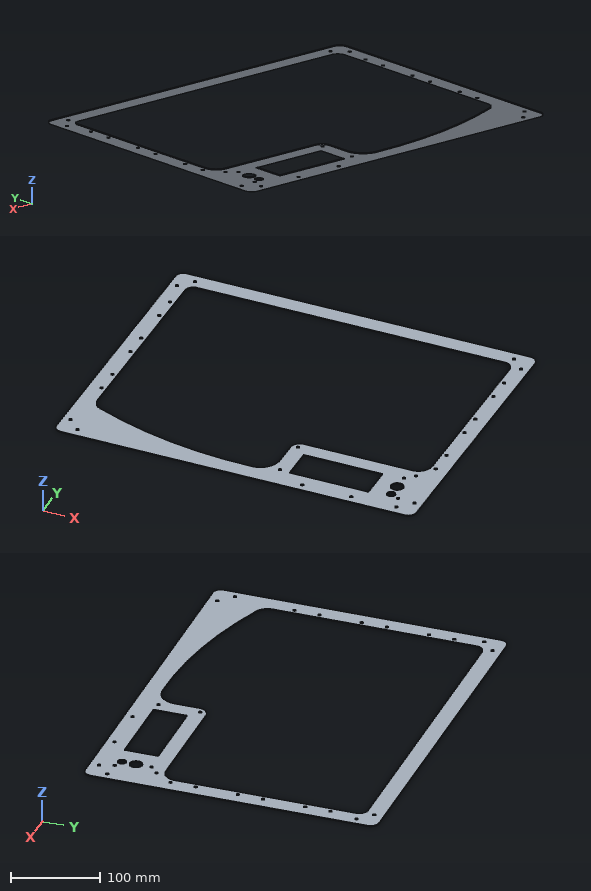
import cadquery as cq
import math

length = 440.0
width = 350.0
thickness = 1.5
outer_radius = 10.0

opening_x = 198.5
opening_y = 153.5
step_x = 37.5
step_y = -89.0
sweep_radius = 506.0
sweep_low_x = 6.5
upper_radius = 10.0
step_outer_radius = 12.0
step_inner_radius = 16.5
sweep_left_radius = 16.5
sweep_right_radius = 23.5

window_length = 96.5
window_width = 40.0
window_center = (105.5, -128.5)
display_screw_x = (45.5, 189.5)
display_screw_y = (-97.2, -147.0)

control_x = 179.0
knob_y = -125.5
knob_diameter = 15.0
button_y = -142.0
button_diameter = 10.0
lamp_y = -107.0

screw_diameter = 3.5
corner_screws = ((195.0, 163.5), (210.5, 148.5))
side_screw_x = 204.0
side_pair_spacing = 30.0
side_pair_pitch = 80.0
side_pair_center_y = 20.0
bottom_screw_x = (80.5, 140.5)
bottom_screw_y = -165.0


def sweep_y(x):
    """Height of the curved lower edge at x."""
    center_y = sweep_radius - opening_y
    return center_y - math.sqrt(sweep_radius**2 - (x - sweep_low_x) ** 2)


def through_holes(points, diameter):
    return cq.Workplane("XY").pushPoints(points).circle(diameter / 2).extrude(thickness)


def main_opening():
    sweep_mid_x = (step_x - opening_x) / 2
    corners = (
        (-opening_x, opening_y, upper_radius),
        (opening_x, opening_y, upper_radius),
        (opening_x, step_y, step_inner_radius),
        (step_x, step_y, step_outer_radius),
        (step_x, sweep_y(step_x), sweep_right_radius),
        (-opening_x, sweep_y(-opening_x), sweep_left_radius),
    )
    cutter = (
        cq.Workplane("XY")
        .polyline([(x, y) for x, y, _ in corners[:5]])
        .threePointArc((sweep_mid_x, sweep_y(sweep_mid_x)), corners[5][:2])
        .close()
        .extrude(thickness)
    )
    for x, y, radius in corners:
        corner_edge = cq.selectors.NearestToPointSelector((x, y, thickness / 2))
        cutter = cutter.edges("|Z").edges(corner_edge).fillet(radius)
    return cutter


def screw_points():
    points = [(sx * x, sy * y) for x, y in corner_screws for sx in (-1, 1) for sy in (-1, 1)]
    for side in (-1, 1):
        for pair in (-1, 0, 1):
            for end in (-0.5, 0.5):
                y = side_pair_center_y + pair * side_pair_pitch + end * side_pair_spacing
                points.append((side * side_screw_x, y))
    points += [(x, y) for x in display_screw_x for y in display_screw_y]
    points += [(x, bottom_screw_y) for x in bottom_screw_x]
    points.append((control_x, lamp_y))
    return points


plate = (
    cq.Workplane("XY")
    .rect(length, width)
    .extrude(thickness)
    .edges("|Z")
    .fillet(outer_radius)
)
window = cq.Workplane("XY").center(*window_center).rect(window_length, window_width).extrude(thickness)

result = (
    plate.cut(main_opening())
    .cut(window)
    .cut(through_holes([(control_x, knob_y)], knob_diameter))
    .cut(through_holes([(control_x, button_y)], button_diameter))
    .cut(through_holes(screw_points(), screw_diameter))
)